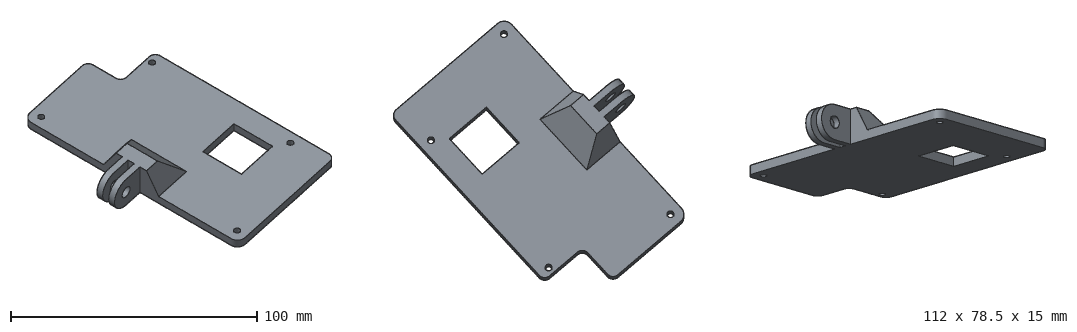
import cadquery as cq

plate_length = 112.0
plate_width = 62.0
plate_thickness = 4.0
notch_length = 18.0
notch_width = 21.0
front_corner_radius = 4.0
rear_corner_radius = 3.0

screw_hole_diameter = 2.8
screw_hole_inset = 5.0
rear_left_hole_x = 21.0
rear_right_hole_x = 93.0
window_size = 20.0
window_left = 68.4
window_front = 30.9

mount_center_x = 55.9
mount_height = 15.0
block_base_length = 28.7
block_top_length = 16.0
block_top_width = 7.0

lug_thickness = 3.0
lug_gap = 3.1
lug_radius = mount_height / 2
lug_reach = 16.5
pivot_y = lug_radius - lug_reach
pivot_diameter = 5.2


def make_plate():
    notch_y = plate_width - notch_width
    outline = [
        (0, 0),
        (plate_length, 0),
        (plate_length, plate_width),
        (notch_length, plate_width),
        (notch_length, notch_y),
        (0, notch_y),
    ]
    plate = cq.Workplane("XY").polyline(outline).close().extrude(plate_thickness)
    plate = plate.edges("|Z").edges("not <Y").fillet(rear_corner_radius)
    plate = plate.edges("|Z").edges("<Y").fillet(front_corner_radius)

    rear_hole_y = plate_width - screw_hole_inset
    screw_holes = [
        (screw_hole_inset, screw_hole_inset),
        (plate_length - screw_hole_inset, screw_hole_inset),
        (rear_left_hole_x, rear_hole_y),
        (rear_right_hole_x, rear_hole_y),
    ]
    holes = (
        cq.Workplane("XY")
        .pushPoints(screw_holes)
        .circle(screw_hole_diameter / 2)
        .extrude(plate_thickness)
    )
    window = cq.Workplane("XY").box(window_size, window_size, plate_thickness, centered=False)
    return plate.cut(holes).cut(window.translate((window_left, window_front, 0)))


def make_block():
    rise = mount_height - plate_thickness
    block_base_width = block_top_width + rise
    side_profile = [
        (0, 0),
        (block_base_width, 0),
        (block_base_width, plate_thickness),
        (block_top_width, mount_height),
        (0, mount_height),
    ]
    end_profile = [
        (-block_base_length / 2, 0),
        (block_base_length / 2, 0),
        (block_base_length / 2, plate_thickness),
        (block_top_length / 2, mount_height),
        (-block_top_length / 2, mount_height),
        (-block_base_length / 2, plate_thickness),
    ]
    side = (
        cq.Workplane("YZ").polyline(side_profile).close()
        .extrude(block_base_length / 2, both=True)
    )
    ends = cq.Workplane("XZ").polyline(end_profile).close().extrude(-block_base_width)
    return side.intersect(ends).translate((mount_center_x, 0, 0))


def make_lug(center_x):
    lug = (
        cq.Workplane("YZ")
        .moveTo(0, 0)
        .lineTo(pivot_y, 0)
        .threePointArc((-lug_reach, lug_radius), (pivot_y, mount_height))
        .lineTo(0, mount_height)
        .close()
        .extrude(lug_thickness / 2, both=True)
    )
    pivot = (
        cq.Workplane("YZ")
        .center(pivot_y, lug_radius)
        .circle(pivot_diameter / 2)
        .extrude(lug_thickness, both=True)
    )
    return lug.cut(pivot).translate((center_x, 0, 0))


result = make_plate().union(make_block())
lug_offset = (lug_gap + lug_thickness) / 2
for side in (-1, 1):
    result = result.union(make_lug(mount_center_x + side * lug_offset))